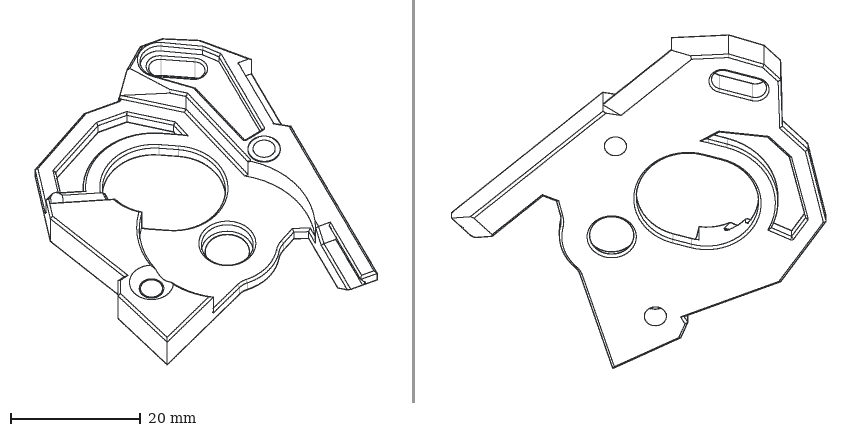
import cadquery as cq
import math


BODY_H = 6.4
PLATE_H = 2.5
LEDGE_H = 4.4
BOSS_H = 0.2
EDGE = 0.4
BEVEL = 45.0
OVER = 1.0

X_MIN, X_MAX = -38.4, 17.6
LENGTH_Y = 41.37
Y_MAX = 17.4
Y_MIN = Y_MAX - LENGTH_Y
RAIL_Y = 12.5

SLIDE_ANGLE = 60.0
SEAT_D, SEAT_HOLE_D, SEAT_LIP = 8.0, 6.8, 0.5
SWING_R = 13.6
EAR_R = 8.1
EAR_UPPER_ANGLE, EAR_UPPER_FILLET = 30.0, 4.0
EAR_LOWER_ANGLE, EAR_LOWER_FILLET = 26.6, 3.0
FOOT_TIP = (16.4, -17.75)
RAIL_NOTCH = (1.95, 10.4)
BORE_CENTER = (-14.1, -4.3)
BORE_D, BORE_TRAVEL = 16.0, 3.0
RING_R = 11.0
SCREW_D = 3.4
BOSS_CENTER, BOSS_D = (-11.65, 11.6), 5.0
SINK_CENTER, SINK_D, SINK_FLOOR_D = (4.95, -15.15), 6.8, 3.8
SLOT_CENTER, SLOT_TRAVEL = (-33.15, 6.65), 5.3

WALL_SWING_END = (-10.75, 8.45)
WALL_CORNER = (-26.5, 5.15)
WALL_FOOT = (-34.5, -4.5)
WAIST = (-32.8, -3.5)

FOOT_ANGLE = 70.0
FOOT_CORNER = (-18.18, -20.6)
FOOT_WALL_LENGTH = 10.0
FOOT_LEDGE_TOP = (-16.0, -22.6)
FOOT_LEDGE_LENGTH = 14.0
FOOT_LEDGE_WIDTH = 5.0

RAIL_LEDGE_X = 5.65
RAIL_LIP_Y = 14.55
LIP_H = 0.35
UNDERCUT = 0.8
UNDERCUT_H = 1.2

POCKET_DEPTH = 1.6
POCKET_R = 3.05
POCKET_ARC = (-45, -125, 152)
RECESS_X = -28.9
RECESS_DEPTH_Y = 2.3
RECESS_END_BOTTOM_X, RECESS_END_TOP_X = -16.1, -14.4

SLOPE_START, SLOPE_END = (-34.8, -0.5), (-29.05, 3.0)
SLOPE_RUN = 3.2
SLOPE_OVERRUN = 0.8


def polar(center, radius, degrees):
    angle = math.radians(degrees)
    return (center[0] + radius * math.cos(angle), center[1] + radius * math.sin(angle))


def at_height(z):
    return cq.Workplane("XY").workplane(offset=z)


def bottom_flare(profile):
    """Cutter that chamfers the underside rim of an opening."""
    return profile(at_height(EDGE)).extrude(-EDGE, taper=-BEVEL)


def flared_cut(profile, bottom, top):
    """Cutter from bottom to top whose upper rim opens into a 45 degree chamfer."""
    shaft = profile(at_height(bottom)).extrude(top - bottom)
    rim = profile(at_height(top - EDGE)).extrude(EDGE, taper=-BEVEL)
    return shaft.union(rim)


def circle_at(center, diameter):
    return lambda plane: plane.center(*center).circle(diameter / 2)


def obround_at(center, travel, diameter):
    def draw(plane):
        placed = plane.center(*center).transformed(rotate=(0, 0, SLIDE_ANGLE))
        return placed.slot2D(travel + diameter, diameter)
    return draw


def ear_fillet(line_point, normal_angle, fillet_r, side):
    """Line end, middle and ear end of the fillet between a straight side and the ear arc."""
    normal = polar((0, 0), 1, normal_angle)
    across = line_point[0] * normal[0] + line_point[1] * normal[1] + fillet_r
    along = side * math.sqrt((EAR_R + fillet_r) ** 2 - across ** 2)
    center = (normal[0] * across - normal[1] * along, normal[1] * across + normal[0] * along)
    center_angle = math.degrees(math.atan2(center[1], center[0]))
    line_end = polar(center, -fillet_r, normal_angle)
    middle = polar(center, -fillet_r, (normal_angle + center_angle) / 2)
    ear_end = polar((0, 0), EAR_R, center_angle)
    return line_end, middle, ear_end


def draw_bore(plane):
    return obround_at(BORE_CENTER, BORE_TRAVEL, BORE_D)(plane)


def draw_outline(plane):
    lower_line, lower_mid, lower_ear = ear_fillet(FOOT_TIP, EAR_LOWER_ANGLE, EAR_LOWER_FILLET, -1)
    upper_line, upper_mid, upper_ear = ear_fillet(RAIL_NOTCH, EAR_UPPER_ANGLE, EAR_UPPER_FILLET, 1)
    ear_middle = polar((0, 0), EAR_R, EAR_UPPER_ANGLE)
    return (
        plane.moveTo(RECESS_X, Y_MAX)
        .lineTo(-35.7, 11.7)
        .lineTo(X_MIN, 6.6)
        .lineTo(X_MIN, 2.85)
        .lineTo(*WAIST)
        .lineTo(WAIST[0], -9.25)
        .lineTo(-25.9, -20.75)
        .lineTo(-13.3, Y_MIN)
        .lineTo(1.9, -18.4)
        .lineTo(2.2, -19.55)
        .lineTo(4.9, -20.85)
        .lineTo(*FOOT_TIP)
        .lineTo(*lower_line)
        .threePointArc(lower_mid, lower_ear)
        .threePointArc(ear_middle, upper_ear)
        .threePointArc(upper_mid, upper_line)
        .lineTo(*RAIL_NOTCH)
        .lineTo(2.85, RAIL_Y)
        .lineTo(X_MAX, RAIL_Y)
        .lineTo(X_MAX, Y_MAX)
        .close()
    )


def draw_deck(plane):
    """Area where only the thin plate remains, run past the outline and into the round openings."""
    foot_top = polar(FOOT_CORNER, FOOT_WALL_LENGTH, FOOT_ANGLE)
    return plane.polyline([
        WALL_SWING_END,
        WALL_CORNER,
        WALL_FOOT,
        (X_MIN, -10.0),
        (X_MIN, Y_MIN - OVER),
        (-15.62, -25.5),
        FOOT_CORNER,
        foot_top,
        BORE_CENTER,
        (-6.0, 2.0),
    ]).close()


def draw_window(plane):
    """Window outline, run into the bore; the ring is left standing across it."""
    return plane.polyline([
        (-29.75, -3.4),
        (-24.95, 2.35),
        (-20.15, 3.3),
        BORE_CENTER,
        (-17.6, -12.1),
        (-20.15, -19.1),
        (-24.05, -18.1),
        (-29.75, -8.3),
    ]).close()


def draw_pocket(plane):
    slot_end = polar(SLOT_CENTER, -SLOT_TRAVEL / 2, SLIDE_ANGLE)
    arc_start, arc_middle, arc_end = [polar(slot_end, POCKET_R, angle) for angle in POCKET_ARC]
    return (
        plane.moveTo(-31.5, 13.05)
        .lineTo(-15.6, 13.05)
        .lineTo(-14.85, 9.8)
        .lineTo(-27.4, 7.15)
        .lineTo(*arc_start)
        .threePointArc(arc_middle, arc_end)
        .lineTo(-33.8, 11.3)
        .close()
    )


def draw_recess(left_x):
    inner_y = Y_MAX - RECESS_DEPTH_Y
    slope = (RECESS_END_TOP_X - RECESS_END_BOTTOM_X) / RECESS_DEPTH_Y
    return lambda plane: plane.polyline([
        (left_x, inner_y),
        (RECESS_END_BOTTOM_X, inner_y),
        (RECESS_END_TOP_X + slope * OVER, Y_MAX + OVER),
        (left_x, Y_MAX + OVER),
    ]).close()


def make_plate():
    plate = draw_outline(at_height(0)).extrude(PLATE_H)
    plate = plate.faces("<Z or >Z").edges().chamfer(EDGE)
    ring = obround_at(BORE_CENTER, BORE_TRAVEL, 2 * RING_R)(at_height(0)).extrude(PLATE_H)
    ring = ring.faces("<Z or >Z").edges().chamfer(EDGE)
    window = flared_cut(draw_window, 0, PLATE_H).union(bottom_flare(draw_window)).cut(ring)
    bore = flared_cut(draw_bore, 0, PLATE_H).union(bottom_flare(draw_bore))
    return plate.cut(window).cut(bore)


def make_body():
    """Full height body and foot, joined later by the plate."""
    body = draw_outline(at_height(0)).extrude(BODY_H)
    body = body.faces("<Z or >Z").edges().chamfer(EDGE)
    deck = draw_deck(at_height(PLATE_H)).extrude(BODY_H - PLATE_H).faces("<Z").edges().chamfer(EDGE)
    deck_rim = draw_deck(at_height(BODY_H - EDGE)).extrude(EDGE, taper=-BEVEL)
    below_deck = draw_deck(at_height(0)).offset2D(-EDGE).extrude(PLATE_H)
    body = body.cut(deck).cut(deck_rim).cut(below_deck)

    swing = circle_at((0, 0), 2 * SWING_R)
    body = body.cut(swing(at_height(0)).extrude(BODY_H))
    foot_side = at_height(0).center(0, -SWING_R).rect(4 * SWING_R, 2 * SWING_R).extrude(BODY_H)
    body = body.cut(flared_cut(swing, 0, BODY_H).intersect(foot_side))

    body = body.cut(flared_cut(draw_bore, 0, BODY_H)).cut(bottom_flare(draw_bore))
    return body.cut(make_slope_cutter())


def make_slope_cutter():
    along = (SLOPE_END[0] - SLOPE_START[0], SLOPE_END[1] - SLOPE_START[1])
    length = math.hypot(*along)
    start = (
        SLOPE_START[0] - along[0] / length * OVER,
        SLOPE_START[1] - along[1] / length * OVER,
        BODY_H,
    )
    plane = cq.Plane(origin=start, xDir=(along[1], -along[0], 0), normal=(along[0], along[1], 0))
    drop = BODY_H - PLATE_H
    profile = cq.Workplane(plane).polyline([
        (0, 0),
        (SLOPE_RUN, drop),
        (SLOPE_RUN + OVER, drop),
        (SLOPE_RUN + OVER, 0),
    ]).close()
    return profile.extrude(OVER + length + SLOPE_OVERRUN)


def make_ledge_cutter(length, width):
    """Ledge along +X with its lip on the X axis, open to -Y, ramped up at X = 0."""
    outer_y = -width - OVER
    undercut_top = BODY_H - LIP_H
    undercut_bottom = undercut_top - UNDERCUT_H
    base = undercut_bottom - LEDGE_H
    cutter = cq.Workplane("YZ").polyline([
        (outer_y, LEDGE_H),
        (UNDERCUT - base, LEDGE_H),
        (UNDERCUT, undercut_bottom),
        (0, undercut_top),
        (LIP_H, BODY_H),
        (LIP_H, BODY_H + OVER),
        (outer_y, BODY_H + OVER),
    ]).close().extrude(length)
    ramp = cq.Workplane("XZ").polyline([(0, 0), (0, BODY_H), (BODY_H, 0)]).close()
    return cutter.cut(ramp.extrude(2 * width + 2 * UNDERCUT, both=True))


def cut_rail(part):
    ledge = make_ledge_cutter(X_MAX - RAIL_LEDGE_X + OVER, RAIL_LIP_Y - RAIL_Y)
    part = part.cut(ledge.translate((RAIL_LEDGE_X, RAIL_LIP_Y, 0)))
    outer_edges = cq.selectors.BoxSelector(
        (RAIL_LEDGE_X, RAIL_Y - EDGE / 2, LEDGE_H - EDGE / 2),
        (X_MAX, RAIL_Y + EDGE / 2, BODY_H - EDGE),
    )
    part = part.edges(outer_edges).chamfer(EDGE)
    end_bevel = cq.Workplane("XZ", origin=(0, Y_MAX + OVER, 0)).polyline([
        (X_MAX, LEDGE_H),
        (X_MAX - LEDGE_H - OVER, -OVER),
        (X_MAX + OVER, -OVER),
        (X_MAX + OVER, LEDGE_H),
    ]).close()
    return part.cut(end_bevel.extrude(Y_MAX - RAIL_Y + 2 * OVER))


def cut_foot_ledge(part):
    ledge = make_ledge_cutter(FOOT_LEDGE_LENGTH, FOOT_LEDGE_WIDTH)
    ledge = ledge.mirror("XZ").rotate((0, 0, 0), (0, 0, 1), FOOT_ANGLE)
    ledge = ledge.translate((*FOOT_LEDGE_TOP, 0))
    bore_rim = draw_bore(at_height(LEDGE_H - EDGE)).extrude(EDGE, taper=-BEVEL)
    return part.cut(ledge).cut(bore_rim.intersect(ledge.translate((0, 0, -EDGE))))


def cut_rear_recess(part):
    """Recess with a chamfered slanted end, and a 45 degree bevel on the underside below it."""
    recess = draw_recess(RECESS_X)(at_height(PLATE_H)).extrude(BODY_H)
    end_rim = draw_recess(RECESS_X)(at_height(BODY_H - EDGE)).extrude(EDGE, taper=-BEVEL)
    inner_y = Y_MAX - RECESS_DEPTH_Y
    end_size = RECESS_DEPTH_Y + OVER
    end_area = at_height(0).center(RECESS_END_BOTTOM_X, inner_y)
    end_area = end_area.rect(end_size, end_size, centered=False).extrude(BODY_H)
    recess = recess.union(end_rim.intersect(end_area))
    wedge = cq.Workplane("YZ", origin=(X_MIN, 0, 0)).polyline([
        (inner_y, 0),
        (Y_MAX, RECESS_DEPTH_Y),
        (Y_MAX + OVER, RECESS_DEPTH_Y),
        (Y_MAX + OVER, 0),
    ]).close().extrude(X_MAX - X_MIN)
    bevel = wedge.intersect(draw_recess(X_MIN)(at_height(0)).extrude(BODY_H))
    return part.cut(recess).cut(bevel)


def cut_pocket(part):
    floor = BODY_H - POCKET_DEPTH
    part = part.cut(flared_cut(draw_pocket, floor, BODY_H))
    slot = obround_at(SLOT_CENTER, SLOT_TRAVEL, SCREW_D)
    return part.cut(flared_cut(slot, 0, floor)).cut(bottom_flare(slot))


def cut_holes(part):
    boss = circle_at(BOSS_CENTER, BOSS_D)(at_height(PLATE_H)).extrude(BODY_H + BOSS_H - PLATE_H)
    part = part.union(boss)
    for center in (BOSS_CENTER, SINK_CENTER):
        part = part.cut(circle_at(center, SCREW_D)(at_height(0)).extrude(BODY_H + BOSS_H))
    sink_depth = (SINK_D - SINK_FLOOR_D) / 2
    sink = circle_at(SINK_CENTER, SINK_D)(at_height(BODY_H)).extrude(-sink_depth, taper=BEVEL)
    part = part.cut(sink)
    seat_hole = circle_at((0, 0), SEAT_HOLE_D)
    part = part.cut(seat_hole(at_height(0)).extrude(PLATE_H)).cut(bottom_flare(seat_hole))
    return part.cut(flared_cut(circle_at((0, 0), SEAT_D), SEAT_LIP, PLATE_H))


part = make_body().union(make_plate())
part = cut_rail(part)
part = cut_foot_ledge(part)
part = cut_rear_recess(part)
part = cut_pocket(part)
result = cut_holes(part)